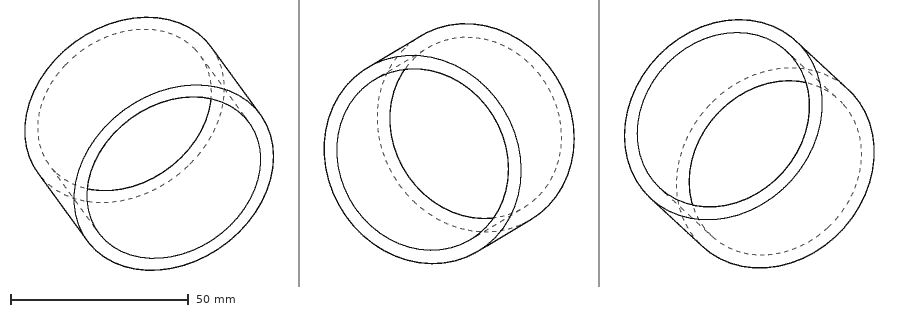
import cadquery as cq

outer_diameter = 60.3
wall_thickness = 3.9
length = 38.0

bore_diameter = outer_diameter - 2 * wall_thickness

result = (
    cq.Workplane("YZ")
    .workplane(offset=-length / 2)
    .circle(outer_diameter / 2)
    .circle(bore_diameter / 2)
    .extrude(length)
)